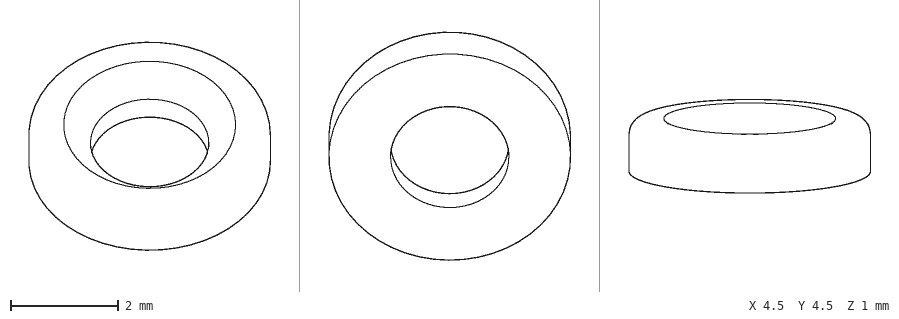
import cadquery as cq

outer_diameter = 4.5
height = 1.0
bore_diameter = 2.2
countersink_diameter = 3.2
rim_radius = 0.3

countersink_depth = (countersink_diameter - bore_diameter) / 2

ring = (
    cq.Workplane("XY")
    .circle(outer_diameter / 2)
    .circle(bore_diameter / 2)
    .extrude(height)
)

top_edges = cq.selectors.RadiusNthSelector
ring = ring.faces(">Z").edges(top_edges(-1)).fillet(rim_radius)
result = ring.faces(">Z").edges(top_edges(0)).chamfer(countersink_depth)